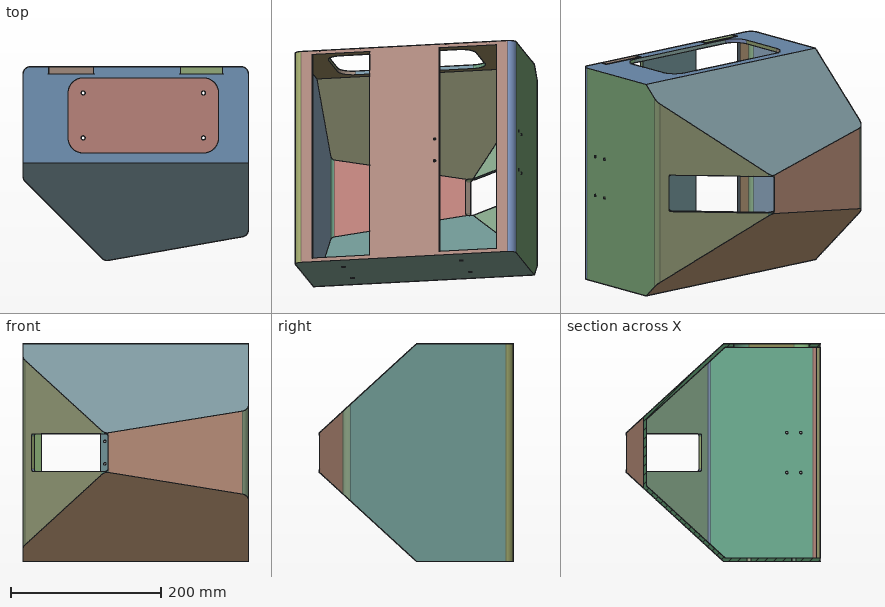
import cadquery as cq
import math

width = 300.0
height = 290.0
mid_height = height / 2
wall = 5.0
bend_radius = 10.0

left_depth = 150.0
right_depth = 225.0
left_front_angle = 45.0
right_front_angle = 10.0

flat_depth = 128.5
nose_depth = 258.0
nose_height = 52.5

window_start = 16.2
window_length = 140.0
window_height = 50.0
window_corner_radius = 3.0
window_cut_depth = 18.0

top_opening_left = 60.0
top_opening_rear = 15.0
top_opening_width = 200.0
top_opening_depth = 100.0
top_opening_radius = 20.0

rear_opening_width = 78.0
rear_opening_inset = 25.0

tab_spans = ((34.2, 94.0), (209.5, 265.2))
tab_depth = 10.0
groove_width = 0.3
groove_depth = 1.0
groove_overrun = 1.2

floor_hole_diameter = 5.0
small_hole_diameter = 3.0
rear_hole_edge_distance = 6.0
rear_hole_spacing = 30.0
side_hole_depths = (25.8, 44.5)
side_hole_spacing = 53.0


def plan_prism(inset, radius):
    """Vertical prism with the five-sided plan outline, moved inward by inset."""
    left_angle = math.radians(left_front_angle)
    right_angle = math.radians(right_front_angle)
    left_slope = math.tan(left_angle)
    right_slope = math.tan(right_angle)
    left_start = left_depth - inset / math.cos(left_angle)
    right_start = right_depth + width * right_slope - inset / math.cos(right_angle)
    left = inset
    right = width - inset
    apex = (right_start - left_start) / (left_slope + right_slope)
    outline = [
        (left, -inset),
        (right, -inset),
        (right, right_slope * right - right_start),
        (apex, right_slope * apex - right_start),
        (left, -left_start - left_slope * left),
    ]
    return cq.Workplane("XY").polyline(outline).close().extrude(height).edges("|Z").fillet(radius)


def side_prism(inset):
    """Prism along X with the tapered side outline, moved inward by inset."""
    slope_angle = math.atan2((height - nose_height) / 2, nose_depth - flat_depth)
    half_height = mid_height - inset
    taper_start = flat_depth - inset * math.tan(slope_angle / 2)
    tip = taper_start + half_height / math.tan(slope_angle)
    outline = [
        (0, mid_height - half_height),
        (0, mid_height + half_height),
        (-taper_start, mid_height + half_height),
        (-tip, mid_height),
        (-taper_start, mid_height - half_height),
    ]
    return cq.Workplane("YZ").polyline(outline).close().extrude(width)


def housing_body(inset, radius):
    return plan_prism(inset, radius).intersect(side_prism(inset))


def window_cutter():
    """Rounded block standing square to the left front wall."""
    angle = math.radians(left_front_angle)
    along_wall = cq.Vector(math.cos(angle), -math.sin(angle), 0)
    inward = cq.Vector(math.sin(angle), math.cos(angle), 0)
    corner = cq.Vector(0, -left_depth, mid_height)
    center = corner + along_wall * (window_start + window_length / 2)
    plane = cq.Plane(center - inward * window_cut_depth, along_wall, inward)
    block = cq.Workplane(plane).rect(window_length, window_height).extrude(2 * window_cut_depth)
    return block.edges(cq.selectors.ParallelDirSelector(inward)).fillet(window_corner_radius)


top_center_x = top_opening_left + top_opening_width / 2
top_center_y = -top_opening_rear - top_opening_depth / 2


def top_opening_cutter():
    block = cq.Workplane("XY", origin=(top_center_x, top_center_y, height - 2 * wall))
    block = block.rect(top_opening_width, top_opening_depth).extrude(3 * wall)
    return block.edges("|Z").fillet(top_opening_radius)


def floor_holes():
    """Four holes below the corner centers of the top opening."""
    plane = cq.Workplane("XY", origin=(top_center_x, top_center_y, -wall))
    spacing_x = top_opening_width - 2 * top_opening_radius
    spacing_y = top_opening_depth - 2 * top_opening_radius
    return plane.rarray(spacing_x, spacing_y, 2, 2).circle(floor_hole_diameter / 2).extrude(3 * wall)


def rear_opening_cutter(left):
    size = (rear_opening_width, 3 * wall, height - 2 * wall)
    return cq.Workplane("XY").box(*size).translate((left + rear_opening_width / 2, 0, mid_height))


def rear_holes():
    """Pair of holes beside the left rear opening."""
    x = rear_opening_inset + rear_opening_width + rear_hole_edge_distance
    plane = cq.Workplane("XZ", origin=(x, wall, mid_height))
    holes = plane.rarray(3, rear_hole_spacing, 1, 2).circle(small_hole_diameter / 2)
    return holes.extrude(3 * wall)


def side_holes():
    """Four holes through the left side wall."""
    points = [
        (-depth, sign * side_hole_spacing / 2)
        for depth in side_hole_depths
        for sign in (-1, 1)
    ]
    plane = cq.Workplane("YZ", origin=(-wall, 0, mid_height))
    return plane.pushPoints(points).circle(small_hole_diameter / 2).extrude(3 * wall)


def tab_grooves(left, right):
    """Shallow groove along the front of a tab and one along each side of it."""
    center = (left + right) / 2
    front_length = right - left + 2 * groove_overrun
    plane = cq.Workplane("XY", origin=(0, 0, height - groove_depth))
    grooves = plane.center(center, -tab_depth).rect(front_length, groove_width).extrude(2 * groove_depth)
    for x in (left, right):
        side = plane.center(x, -tab_depth / 2).rect(groove_width, tab_depth).extrude(2 * groove_depth)
        grooves = grooves.union(side)
    return grooves


result = housing_body(0, bend_radius).cut(housing_body(wall, bend_radius - wall))
result = result.cut(window_cutter()).cut(top_opening_cutter())
for opening_left in (rear_opening_inset, width - rear_opening_inset - rear_opening_width):
    result = result.cut(rear_opening_cutter(opening_left))
result = result.cut(floor_holes()).cut(rear_holes()).cut(side_holes())
for tab_left, tab_right in tab_spans:
    result = result.cut(tab_grooves(tab_left, tab_right))